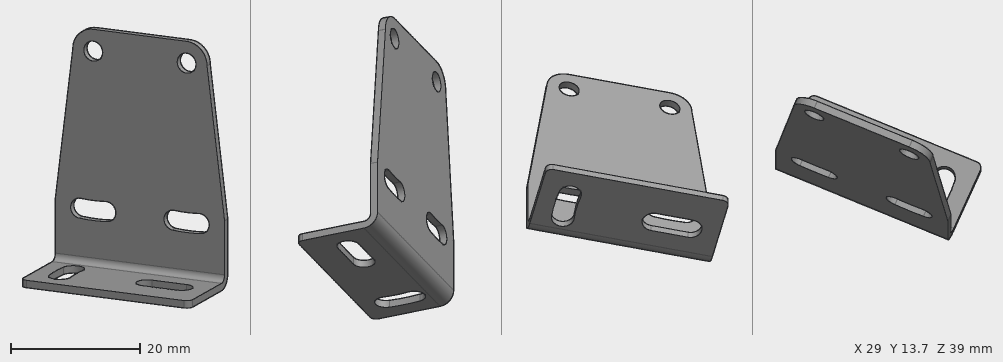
import cadquery as cq
import math

width = 29.0
depth = 13.7
height = 39.0
thickness = 1.2
inner_bend_radius = 1.1
outer_bend_radius = inner_bend_radius + thickness

shoulder_height = 11.0
top_corner_radius = 3.5
hole_diameter = 3.2
hole_x = 8.0
hole_z = height - top_corner_radius
swing_radius = 25.6
swing_slot_length = 7.72

foot_corner_radius = 1.0
foot_slot_width = 3.5
foot_slot_y = -7.0
straight_slot_x = 7.0
straight_slot_length = 9.4
curved_slot_x = -9.95
curved_slot_length = 8.25


def arc_slot(workplane, pivot, radius, direction, length, slot_width):
    """Outline a slot curved about a pivot, its middle lying in the given direction (degrees)."""
    end_radius = slot_width / 2
    half_angle = math.degrees(math.asin((length / 2 - end_radius) / radius))

    def polar(distance, angle):
        turn = math.radians(direction + angle)
        return (pivot[0] + distance * math.cos(turn), pivot[1] + distance * math.sin(turn))

    inner = radius - end_radius
    outer = radius + end_radius
    tip_distance = math.hypot(radius, end_radius)
    tip_angle = half_angle + math.degrees(math.atan2(end_radius, radius))
    return (
        workplane.moveTo(*polar(inner, -half_angle))
        .threePointArc(polar(inner, 0), polar(inner, half_angle))
        .threePointArc(polar(tip_distance, tip_angle), polar(outer, half_angle))
        .threePointArc(polar(outer, 0), polar(outer, -half_angle))
        .threePointArc(polar(tip_distance, -tip_angle), polar(inner, -half_angle))
        .close()
    )


def bent_sheet():
    """L-shaped sheet with a rounded bend, extruded across the full width."""
    return (
        cq.Workplane("YZ")
        .moveTo(0, height)
        .lineTo(0, outer_bend_radius)
        .radiusArc((-outer_bend_radius, 0), outer_bend_radius)
        .lineTo(-depth, 0)
        .lineTo(-depth, thickness)
        .lineTo(-outer_bend_radius, thickness)
        .radiusArc((-thickness, outer_bend_radius), -inner_bend_radius)
        .lineTo(-thickness, height)
        .close()
        .extrude(width / 2, both=True)
    )


def upright_envelope():
    """Tapered front outline with quarter-round top corners centred on the holes."""
    side_x = width / 2
    corner_side_x = hole_x + top_corner_radius
    middle_x = hole_x + top_corner_radius * math.sqrt(0.5)
    middle_z = hole_z + top_corner_radius * math.sqrt(0.5)
    return (
        cq.Workplane("XZ")
        .moveTo(-side_x, 0)
        .lineTo(side_x, 0)
        .lineTo(side_x, shoulder_height)
        .lineTo(corner_side_x, hole_z)
        .threePointArc((middle_x, middle_z), (hole_x, height))
        .lineTo(-hole_x, height)
        .threePointArc((-middle_x, middle_z), (-corner_side_x, hole_z))
        .lineTo(-side_x, shoulder_height)
        .close()
        .extrude(depth)
    )


def upright_cutouts():
    """Pivot holes and, below each one, a slot curved about that hole."""
    cutouts = (
        cq.Workplane("XZ")
        .pushPoints([(-hole_x, hole_z), (hole_x, hole_z)])
        .circle(hole_diameter / 2)
        .extrude(thickness)
    )
    for x in (-hole_x, hole_x):
        slot = arc_slot(
            cq.Workplane("XZ"), (x, hole_z), swing_radius, -90, swing_slot_length, hole_diameter
        )
        cutouts = cutouts.union(slot.extrude(thickness))
    return cutouts


def foot_cutouts():
    """A straight slot along X and a slot curved about the straight slot's +X end centre."""
    straight_slot = (
        cq.Workplane("XY")
        .center(straight_slot_x, foot_slot_y)
        .slot2D(straight_slot_length, foot_slot_width)
        .extrude(thickness)
    )
    pivot_x = straight_slot_x + (straight_slot_length - foot_slot_width) / 2
    curved_slot = arc_slot(
        cq.Workplane("XY"),
        (pivot_x, foot_slot_y),
        pivot_x - curved_slot_x,
        180,
        curved_slot_length,
        foot_slot_width,
    ).extrude(thickness)
    return straight_slot.union(curved_slot)


bracket = bent_sheet().edges("|Z and <Y").fillet(foot_corner_radius)
bracket = bracket.intersect(upright_envelope())
result = bracket.cut(upright_cutouts()).cut(foot_cutouts())